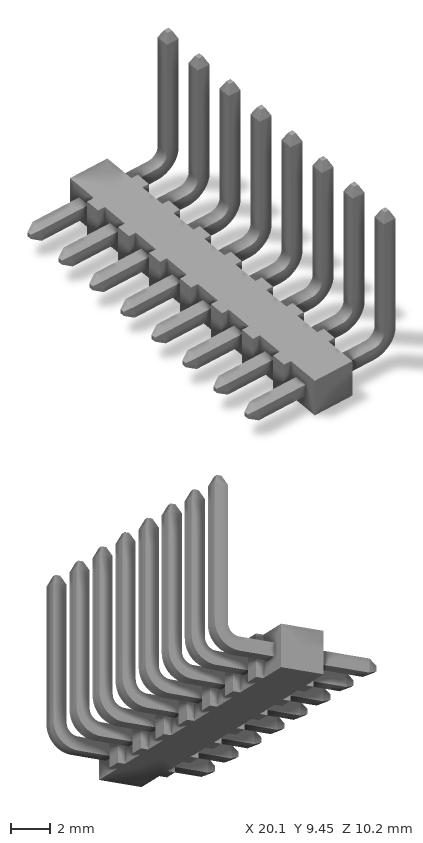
import cadquery as cq

body_length = 20.07
body_height = 2.35
core_depth = 2.45
rib_width = 0.9
rear_rib_depth = 0.42
front_rib_depth = 0.45

pin_count = 8
end_margin = 1.15
pitch = (body_length - 2 * end_margin) / (pin_count - 1)

pin_width = 0.76
leg_reach = 9.45
pin_top = 10.18
pin_axis_height = 1.18
front_leg_length = 3.57
inner_bend_radius = 0.66
tip_length = 0.52
tip_width = 0.28

outer_bend_radius = inner_bend_radius + pin_width
leg_front = -front_leg_length
leg_rear = leg_front + leg_reach
leg_bottom = pin_axis_height - pin_width / 2
leg_top = leg_bottom + pin_width
upright_front = leg_rear - pin_width
bend_start_y = leg_rear - outer_bend_radius
bend_end_z = leg_bottom + outer_bend_radius
tip_start_y = leg_front + tip_length
tip_start_z = pin_top - tip_length


def centred_positions(count):
    return [(i - (count - 1) / 2) * pitch for i in range(count)]


def make_body():
    core = cq.Workplane("XY").box(body_length, core_depth, body_height, centered=(True, False, False))
    rib_depth = rear_rib_depth + core_depth + front_rib_depth
    rib = (
        cq.Workplane("XY")
        .box(rib_width, rib_depth, body_height, centered=(True, False, False))
        .translate((0, -front_rib_depth, 0))
    )
    for x in centred_positions(pin_count - 1):
        core = core.union(rib.translate((x, 0, 0)))
    return core


def make_tip(plane):
    """Blunt four-sided point growing from the end of a pin leg."""
    return (
        cq.Workplane(plane)
        .rect(pin_width, pin_width)
        .workplane(offset=tip_length)
        .rect(tip_width, tip_width)
        .loft(ruled=True)
    )


def make_pin():
    bent_bar = (
        cq.Workplane("YZ")
        .moveTo(tip_start_y, leg_bottom)
        .lineTo(bend_start_y, leg_bottom)
        .radiusArc((leg_rear, bend_end_z), -outer_bend_radius)
        .lineTo(leg_rear, tip_start_z)
        .lineTo(upright_front, tip_start_z)
        .lineTo(upright_front, bend_end_z)
        .radiusArc((bend_start_y, leg_top), inner_bend_radius)
        .lineTo(tip_start_y, leg_top)
        .close()
        .extrude(pin_width / 2, both=True)
    )
    front_tip = make_tip("XZ").translate((0, tip_start_y, pin_axis_height))
    upper_tip = make_tip("XY").translate((0, leg_rear - pin_width / 2, tip_start_z))
    return bent_bar.union(front_tip).union(upper_tip)


result = make_body()
pin = make_pin()
for pin_x in centred_positions(pin_count):
    result = result.union(pin.translate((pin_x, 0, 0)))